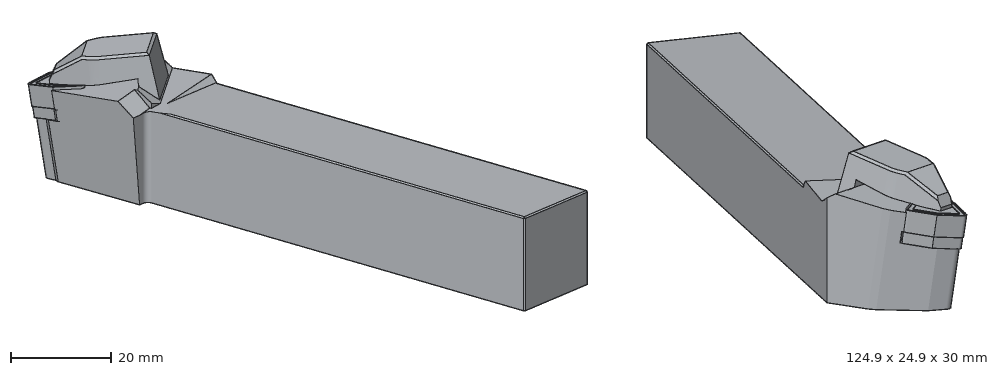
import cadquery as cq
import math

overall_length = 124.93
shank_size = 20.0
shank_chamfer = 0.3
shank_start = 20.0

tilt_slope = math.tan(math.radians(6))
head_top_height = 19.9
head_end = 27.2
head_side = -4.72
blank_reach = 40.0

nose_corner = (0.2, -4.72)
nose_radius = 1.2
relief_start = (4.2, head_side)
relief_end = (3.3, -4.35)
flank_bend = [(0.6, 0.4), (1.2, 1.9)]
flank_end = [(4.55, 9.9), (5.5, 11.3)]
diagonal_end = (15.5, 21.3)

notch_depth = 3.4
notch_angle = 29.0
notch_ramp_slope = 0.61
notch_edge = (13.1, 18.1)
side_ramp_start = 23.5
side_ramp_slope = 0.75
side_ramp_edge = 1.4
step_foot = 28.65
step_slope = 1.15
inner_fillet = 1.2

insert_circle = 9.525
insert_thickness = 4.76
insert_rise = 0.6
corner_angle = 80.0
corner_radius = 0.8
sharpest_radius = 0.2
insert_center = (5.18, 0.28)
insert_turn = 225.0
land_width = 0.35
groove_width = 0.9
groove_depth = 0.15

shim_thickness = 2.5
shim_inset = 0.15
shim_clearance = 0.3
window_end = 6.3
window_depth = 0.45

clamp_nose = (4.2, -1.05)
clamp_angle = 31.5
clamp_nose_half = 2.05
clamp_flare_angle = 23.6
clamp_shoulder_radius = 6.0
clamp_half_width = 6.6
clamp_length = 21.8
clamp_taper = 5.0
clamp_height = 6.18
clamp_fold = 7.0
clamp_brow = 0.6
clamp_brow_height = 2.8
clamp_toe = -1.2
clamp_edge = 0.5
clamp_lift_start = 3.0
clamp_lift_slope = 0.07
clamp_foot = 17.9
clamp_foot_sink = 0.5

tilted = cq.Plane(
    origin=(0, 0, head_top_height),
    xDir=(1, 0, tilt_slope),
    normal=(-tilt_slope, -tilt_slope, 1),
)


def at_level(level):
    """Workplane parallel to the head top, offset along its normal."""
    return cq.Workplane(tilted).workplane(offset=level)


def above_plane(point, slope_x, slope_y):
    """Large block on the upper side of the plane through a point with the given slopes."""
    plane = cq.Plane(origin=point, xDir=(1, 0, slope_x), normal=(-slope_x, -slope_y, 1))
    return cq.Workplane(plane).rect(4 * blank_reach, 4 * blank_reach).extrude(blank_reach)


def block(x_range, y_range, z_range):
    """Axis-aligned box from its limits."""
    sizes = [high - low for low, high in (x_range, y_range, z_range)]
    corner = (x_range[0], y_range[0], z_range[0])
    return cq.Workplane("XY").box(*sizes, centered=False).translate(corner)


def polar(center, reach, degrees):
    """Point at a distance and direction from a centre."""
    angle = math.radians(degrees)
    return (center[0] + reach * math.cos(angle), center[1] + reach * math.sin(angle))


def trigon(level, thickness, inset=0.0):
    """Trigon prism hanging down from a level, its outline shrunk by an inset."""
    inner_radius = insert_circle / 2 - inset
    tip_radius = max(corner_radius - inset, sharpest_radius)
    tip_reach = (inner_radius - tip_radius) / math.sin(math.radians(corner_angle / 2))
    edge_turn = 90 - corner_angle / 2
    bend_reach = inner_radius / math.cos(math.radians(60 - edge_turn))
    outline = at_level(level)
    for index in range(3):
        direction = insert_turn + 120 * index
        tip_center = polar(insert_center, tip_reach, direction)
        arc_start = polar(tip_center, tip_radius, direction - edge_turn)
        arc_middle = polar(tip_center, tip_radius, direction)
        arc_end = polar(tip_center, tip_radius, direction + edge_turn)
        outline = outline.moveTo(*arc_start) if index == 0 else outline.lineTo(*arc_start)
        outline = outline.threePointArc(arc_middle, arc_end)
        outline = outline.lineTo(*polar(insert_center, bend_reach, direction + 60))
    return outline.close().extrude(-thickness)


insert_bottom = insert_rise - insert_thickness
insert = trigon(insert_rise, insert_thickness)
groove_outer = trigon(insert_rise, groove_depth, land_width)
groove_inner = trigon(insert_rise, groove_depth, land_width + groove_width)
insert = insert.cut(groove_outer.cut(groove_inner))


def make_shank():
    """Square bar with chamfered top and end edges."""
    bar = block((shank_start, overall_length), (0, shank_size), (0, shank_size))
    return bar.faces(">Z or >X").edges("not <X").edges("not <Z").chamfer(shank_chamfer)


def make_head_block():
    """Leaning head walls, trimmed square at the back, the far side and the bottom."""
    walls = (
        at_level(blank_reach / 4)
        .moveTo(blank_reach, head_side)
        .lineTo(*relief_start)
        .lineTo(*relief_end)
        .lineTo(*nose_corner)
        .polyline(flank_bend + flank_end + [diagonal_end], includeCurrent=True)
        .lineTo(blank_reach, diagonal_end[1])
        .close()
        .extrude(-blank_reach)
    )
    nose = tilted.toWorldCoords((nose_corner[0], nose_corner[1], 0))
    walls = walls.edges(cq.selectors.NearestToPointSelector(nose.toTuple())).fillet(nose_radius)
    limits = block((-blank_reach, head_end), (-blank_reach, shank_size), (0, blank_reach))
    shoulder = block((shank_start, step_foot), (0, shank_size), (0, blank_reach))
    return walls.intersect(limits).union(shoulder)


def make_end_fillet():
    """Concave fillet between the head end and the shank side."""
    bend = inner_fillet * (1 - math.sqrt(0.5))
    return (
        cq.Workplane("XY")
        .moveTo(head_end, 0)
        .lineTo(head_end, -inner_fillet)
        .threePointArc((head_end + bend, -bend), (head_end + inner_fillet, 0))
        .close()
        .extrude(shank_size)
    )


def head_top_at(x, y):
    """Height of the head top at a plan position."""
    return head_top_height + tilt_slope * (x + y)


above_head_top = above_plane((0, 0, head_top_height), tilt_slope, tilt_slope)
above_notch_floor = above_plane((0, 0, head_top_height - notch_depth), tilt_slope, tilt_slope)
ramp_direction = math.radians(notch_angle)
above_main_ramp = above_plane(
    (*notch_edge, head_top_at(*notch_edge)),
    -notch_ramp_slope * math.cos(ramp_direction),
    -notch_ramp_slope * math.sin(ramp_direction),
)
above_side_ramp = above_plane(
    (side_ramp_start, head_side, head_top_at(side_ramp_start, head_side)), -side_ramp_slope, 0
)
above_side_ramp = above_side_ramp.intersect(block(
    (0, blank_reach), (-blank_reach, side_ramp_edge), (0, blank_reach)
))
above_step = above_plane((step_foot, 0, shank_size), -step_slope, 0)

holder = make_head_block().cut(above_head_top).cut(above_step)
holder = holder.union(make_end_fillet()).union(make_shank())
beyond_head_end = block(
    (head_end, blank_reach), (-blank_reach, shank_size), (0, blank_reach)
)
notch = above_main_ramp.union(above_side_ramp).union(beyond_head_end)
notch = notch.intersect(above_notch_floor)
holder = holder.cut(notch)

window = (
    at_level(insert_rise)
    .moveTo(0, head_side - window_depth)
    .lineTo(0, head_side + window_depth)
    .lineTo(window_end, head_side + window_depth)
    .lineTo(window_end, head_side - window_depth)
    .close()
    .extrude(-insert_thickness)
)
holder = holder.cut(window)

holder = holder.cut(trigon(insert_rise, insert_thickness))
holder = holder.cut(trigon(insert_bottom, shim_thickness, -shim_clearance))
holder = holder.union(trigon(insert_bottom, shim_thickness, shim_inset))


def clamp_plan(level):
    """Workplane parallel to the head top, X running along the clamp from its nose."""
    return at_level(level).transformed(rotate=(0, 0, clamp_angle), offset=(*clamp_nose, 0))


def clamp_side():
    """Workplane along the clamp axis: X from the nose, Y up from the insert top."""
    plan = clamp_plan(insert_rise).plane
    return cq.Workplane(cq.Plane(origin=plan.origin, xDir=plan.xDir, normal=-plan.yDir))


def side_profile(points):
    """Full-width cutter with the given outline along the clamp axis."""
    return clamp_side().polyline(points).close().extrude(clamp_length, both=True)


def make_clamp_blank():
    """Tapered prism from inside the notch floor to the clamp top."""
    flare = math.radians(clamp_flare_angle)
    tangent = clamp_shoulder_radius * math.tan(flare / 2)
    shoulder = (clamp_half_width - clamp_nose_half) / math.tan(flare) + clamp_toe
    flare_end = shoulder - tangent * math.cos(flare)
    flare_half = clamp_half_width - tangent * math.sin(flare)
    sides_start = shoulder + tangent
    return (
        clamp_plan(-notch_depth - clamp_foot_sink)
        .moveTo(clamp_toe, clamp_nose_half)
        .lineTo(flare_end, flare_half)
        .tangentArcPoint((sides_start, clamp_half_width), relative=False)
        .lineTo(clamp_length, clamp_half_width)
        .lineTo(clamp_length, -clamp_half_width)
        .lineTo(sides_start, -clamp_half_width)
        .tangentArcPoint((flare_end, -flare_half), relative=False)
        .lineTo(clamp_toe, -clamp_nose_half)
        .close()
        .extrude(clamp_foot_sink + notch_depth + insert_rise + clamp_height, taper=clamp_taper)
    )


def make_clamp():
    """Clamp with a sloping nose, a chamfered rim and a foot on the main ramp."""
    nose_cut = side_profile([
        (clamp_fold, clamp_height),
        (clamp_brow, clamp_brow_height),
        (clamp_toe, 0),
        (clamp_toe, -clamp_length),
        (-clamp_length, -clamp_length),
        (-clamp_length, clamp_height),
    ])
    lift = clamp_lift_slope * (clamp_foot - clamp_lift_start)
    under_cut = side_profile([
        (-clamp_length, 0),
        (clamp_lift_start, 0),
        (clamp_foot, lift),
        (clamp_foot, -clamp_length),
        (-clamp_length, -clamp_length),
    ])
    body = make_clamp_blank().cut(nose_cut)

    side = clamp_side().plane
    nose_middle = side.toWorldCoords(
        ((clamp_fold + clamp_brow) / 2, (clamp_height + clamp_brow_height) / 2, 0)
    )
    top_edges = body.faces(cq.selectors.DirectionMinMaxSelector(tilted.zDir)).edges().vals()
    nose_edges = body.faces(cq.selectors.NearestToPointSelector(nose_middle.toTuple())).edges().vals()
    rim = []
    for edge in top_edges + nose_edges:
        middle = side.toLocalCoords(edge.Center())
        crosses_clamp = abs(middle.z) < clamp_edge
        if not crosses_clamp or middle.x > clamp_foot:
            rim.append(edge)
    return body.newObject(rim).chamfer(clamp_edge).cut(under_cut)


holder = holder.union(make_clamp())

result = cq.Compound.makeCompound([holder.val(), insert.val()])